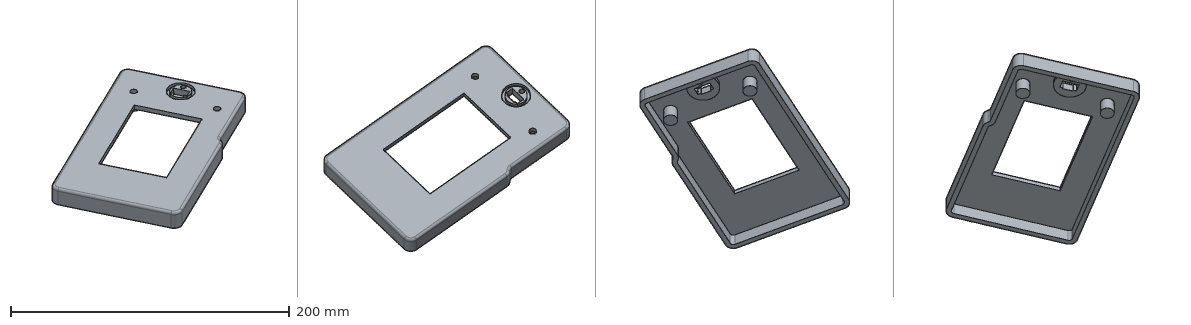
import cadquery as cq
import math

length = 157.5
width = 98.7
height = 14.0
corner_radius = 6.3
edge_fillet = 2.0

step_depth = 3.5
step_start_y = 13.0
step_length = 7.5
step_convex_radius = corner_radius

plate_thickness = 3.8
wall_thickness = 3.8

window_width = 51.5
window_length = 76.4
window_y = -1.3

port_y = 64.1
port_outer_diameter = 20.6
port_inner_diameter = 15.9
port_boss_diameter = 23.8
port_boss_depth = 6.5
groove_depth = 2.5
slot_width = 12.5
slot_top_y = 66.0
slot_shoulder_y = 60.0
key_width = 7.7
key_bottom_y = 59.0
pin_hole_diameter = 3.8
pin_hole_y = 69.5

blind_hole_mouth_diameter = 5.2
blind_hole_diameter = 4.7
blind_hole_spacing = 63.6
blind_hole_y = 52.6
blind_hole_depth = 6.3
post_diameter = 10.0

half_width = width / 2
half_length = length / 2
plate_bottom = height - plate_thickness


def outline(inset):
    """Closed plan outline, moved inward by inset, on the plane Z = 0."""
    left = -half_width + inset
    right = half_width - inset
    upper_right = right - step_depth
    bottom = -half_length + inset
    top = half_length - inset
    r = corner_radius - inset
    diagonal = r * (1 - math.cos(math.radians(45)))

    sweep = 2 * math.atan2(step_depth, step_length)
    radius_sum = step_length / math.sin(sweep)
    convex = step_convex_radius - inset
    concave = radius_sum - convex

    def convex_point(angle):
        return (right - convex * (1 - math.cos(angle)), step_start_y + convex * math.sin(angle))

    def concave_point(angle):
        return (
            upper_right + concave * (1 - math.cos(angle)),
            step_start_y + step_length - concave * math.sin(angle),
        )

    return (
        cq.Workplane("XY")
        .moveTo(left + r, bottom)
        .lineTo(right - r, bottom)
        .threePointArc((right - diagonal, bottom + diagonal), (right, bottom + r))
        .lineTo(right, step_start_y)
        .threePointArc(convex_point(sweep / 2), convex_point(sweep))
        .threePointArc(concave_point(sweep / 2), concave_point(0))
        .lineTo(upper_right, top - r)
        .threePointArc((upper_right - diagonal, top - diagonal), (upper_right - r, top))
        .lineTo(left + r, top)
        .threePointArc((left + diagonal, top - diagonal), (left, top - r))
        .lineTo(left, bottom + r)
        .threePointArc((left + diagonal, bottom + diagonal), (left + r, bottom))
        .close()
    )


def cylinder(diameter, x, y, z_bottom, z_top):
    base = cq.Workplane("XY", origin=(x, y, z_bottom))
    return base.circle(diameter / 2).extrude(z_top - z_bottom)


def slab(slab_width, y_bottom, y_top):
    """Full-height rectangular block centred on X."""
    middle = (y_bottom + y_top) / 2
    return cq.Workplane("XY").center(0, middle).rect(slab_width, y_top - y_bottom).extrude(height)


body = outline(0).extrude(height).faces(">Z").edges().fillet(edge_fillet)
cavity = outline(wall_thickness).extrude(plate_bottom)

blind_hole_xs = (-blind_hole_spacing / 2, blind_hole_spacing / 2)
port_boss_bottom = height - port_boss_depth
cavity = cavity.cut(cylinder(port_boss_diameter, 0, port_y, port_boss_bottom, height))
for x in blind_hole_xs:
    cavity = cavity.cut(cylinder(post_diameter, x, blind_hole_y, 0, height))
body = body.cut(cavity)

window_bottom = window_y - window_length / 2
body = body.cut(slab(window_width, window_bottom, window_bottom + window_length))

groove_floor = height - groove_depth
groove = cylinder(port_outer_diameter, 0, port_y, groove_floor, height)
groove = groove.cut(cylinder(port_inner_diameter, 0, port_y, groove_floor, height))
body = body.cut(groove)
body = body.cut(slab(slot_width, slot_shoulder_y, slot_top_y))
body = body.cut(slab(key_width, key_bottom_y, slot_top_y))
body = body.cut(cylinder(pin_hole_diameter, 0, pin_hole_y, 0, height))

blind_hole_floor = height - blind_hole_depth
for x in blind_hole_xs:
    body = body.cut(cylinder(blind_hole_diameter, x, blind_hole_y, blind_hole_floor, height))
    body = body.cut(cylinder(blind_hole_mouth_diameter, x, blind_hole_y, plate_bottom, height))

result = body